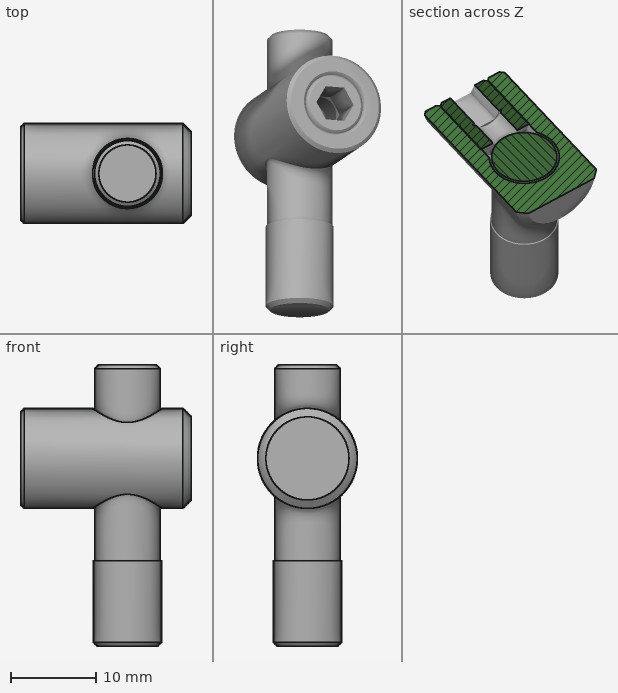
import cadquery as cq
import math

HOUSING_LENGTH = 20.0
HOUSING_DIAMETER = 11.7
LEFT_CHAMFER = 0.43
RIGHT_CHAMFER = 1.0

ROD_X = 12.5
ROD_LENGTH = 33.0
ROD_TOP = 11.0
ROD_BOTTOM = ROD_TOP - ROD_LENGTH
ROD_DIAMETER = 7.7
ROD_HOLE_DIAMETER = 8.15
ROD_END_CHAMFER = 0.5
THREAD_DIAMETER = 8.0
THREAD_LENGTH = 10.0

SCREW_DIAMETER = 7.05
SCREW_CHAMFER = 0.33
SCREW_LENGTH = ROD_X - ROD_DIAMETER / 2
BORE_MOUTH_CHAMFER = 0.33
HEX_ACROSS_FLATS = 4.0
HEX_ACROSS_CORNERS = HEX_ACROSS_FLATS / math.cos(math.pi / 6)
HEX_DEPTH = 4.95
HEX_CONE_DEPTH = (HEX_ACROSS_CORNERS - HEX_ACROSS_FLATS) / 2


def cylinder_along_x(diameter, length):
    """Cylinder on the housing axis, starting at the left face."""
    return cq.Workplane("YZ").circle(diameter / 2).extrude(length)


def cylinder_along_z(diameter, bottom, height):
    """Cylinder on the rod axis."""
    return cq.Workplane("XY", origin=(ROD_X, 0, bottom)).circle(diameter / 2).extrude(height)


def make_housing():
    body = cylinder_along_x(HOUSING_DIAMETER, HOUSING_LENGTH)
    body = body.faces("<X").chamfer(LEFT_CHAMFER)
    body = body.faces(">X").chamfer(RIGHT_CHAMFER)

    screw_bore = cylinder_along_x(SCREW_DIAMETER, ROD_X)
    body = body.cut(screw_bore)
    body = body.faces("<X").edges("%CIRCLE").edges(cq.selectors.RadiusNthSelector(0))
    body = body.chamfer(BORE_MOUTH_CHAMFER)

    rod_hole = cylinder_along_z(ROD_HOLE_DIAMETER, -HOUSING_DIAMETER / 2, HOUSING_DIAMETER)
    return body.cut(rod_hole)


def make_rod():
    shank = cylinder_along_z(ROD_DIAMETER, ROD_BOTTOM, ROD_LENGTH)
    shank = shank.faces(">Z").chamfer(ROD_END_CHAMFER)
    thread = cylinder_along_z(THREAD_DIAMETER, ROD_BOTTOM, THREAD_LENGTH)
    return shank.union(thread).faces("<Z").chamfer(ROD_END_CHAMFER)


def make_set_screw():
    screw = cylinder_along_x(SCREW_DIAMETER, SCREW_LENGTH)
    screw = screw.faces("<X").chamfer(SCREW_CHAMFER)

    hex_socket = cq.Workplane("YZ").polygon(6, HEX_ACROSS_CORNERS).extrude(HEX_DEPTH)
    socket_cone = cq.Workplane(cq.Solid.makeCone(
        HEX_ACROSS_CORNERS / 2,
        HEX_ACROSS_FLATS / 2,
        HEX_CONE_DEPTH,
        pnt=cq.Vector(HEX_DEPTH, 0, 0),
        dir=cq.Vector(1, 0, 0),
    ))
    through_bore = cylinder_along_x(HEX_ACROSS_FLATS, SCREW_LENGTH)
    return screw.cut(hex_socket).cut(socket_cone).cut(through_bore)


housing = make_housing()
rod = make_rod()
set_screw = make_set_screw()

result = cq.Compound.makeCompound([housing.val(), rod.val(), set_screw.val()])